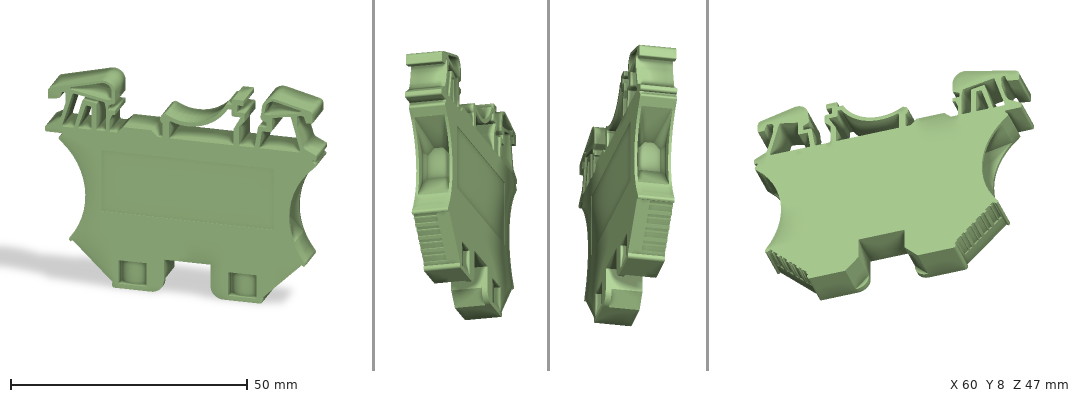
import cadquery as cq
import math

overall_length = 60.0
thickness = 8.0
front_y = -thickness / 2
shoulder_z = 35.4
base_z = shoulder_z - 0.6
root_radius = 0.35
window_radius = 0.3

slot_half_width = 5.15
slot_z = 7.6
foot_radius = 2.75
foot_half_width = 16.6
foot_skin = 1.25
foot_chamfer = 2.95
flank_half_width = 25.3
flank_z = 9.8
ledge_half_width = 27.7
scallop_low = (26.0, 10.3)
scallop_middle = (22.5, 20.4)
scallop_high = (26.4, 30.55)

ledge_z = 33.9
left_ledge_x = -31.45
right_ledge_x = left_ledge_x + overall_length

saddle_center = (0.1, 49.1)
saddle_radius = 9.6
saddle_wall = 0.9
bead_center = (-4.85, 39.6)
bead_radius = 1.15
saddle_post_left = -5.4
saddle_post_right = -3.95
saddle_band_right = 9.3
saddle_band_top = 44.6

label_left = -18.95
label_right = 19.1
label_bottom = 17.1
label_top = 31.0
label_depth = 0.1

latch_pocket_depth = 6.0

foot_pocket_width = 6.25
foot_pocket_bottom = 1.0
foot_pocket_top = 6.35
foot_pocket_depth = 2.0
foot_pocket_middles = (-12.05, 12.2)
bulge_middles = (-12.0, 12.35)
bulge_half_width = 2.9
bulge_height = 1.25

entry_half_width = 3.35
entry_bottom_z = 12.0
throat_x = 18.0
taper_x = 19.4
throat_y = (-2.05, 2.65)
throat_floor_z = 20.1
throat_top_z = 26.75
throat_top_y = (-0.7, 1.25)
throat_side_z = 25.25
mouth_x = 26.75
mouth_top_z = 30.95
trim_size = 120.0

notch_groups = 4
notch_pitch = 2.15
notch_back_y = thickness / 2
notch_front_y = -1.15
notch_depth = 0.5
notch_spans = ((0.1, 0.65), (0.85, 1.75))


def rounded_wire(corners):
    """Closed outline in the XZ plane through (x, z) or (x, z, radius) corners."""
    stretches = []
    count = len(corners)
    for i, corner in enumerate(corners):
        point = cq.Vector(corner[0], 0, corner[1])
        if len(corner) == 2:
            stretches.append((point,))
            continue
        before = corners[i - 1]
        after = corners[(i + 1) % count]
        to_before = (cq.Vector(before[0], 0, before[1]) - point).normalized()
        to_after = (cq.Vector(after[0], 0, after[1]) - point).normalized()
        half_angle = to_before.getAngle(to_after) / 2
        bisector = (to_before + to_after).normalized()
        radius = corner[2]
        tangent_length = radius / math.tan(half_angle)
        corner_to_arc = radius / math.sin(half_angle) - radius
        stretches.append((
            point + to_before * tangent_length,
            point + bisector * corner_to_arc,
            point + to_after * tangent_length,
        ))
    edges = []
    for i, stretch in enumerate(stretches):
        if len(stretch) == 3:
            edges.append(cq.Edge.makeThreePointArc(*stretch))
        edges.append(cq.Edge.makeLine(stretch[-1], stretches[(i + 1) % count][0]))
    return cq.Wire.assembleEdges(edges)


def plate(corners, depth=thickness):
    """Outline extruded backwards from the front face."""
    face = cq.Face.makeFromWires(rounded_wire(corners))
    solid = cq.Solid.extrudeLinear(face, cq.Vector(0, depth, 0))
    return cq.Workplane(solid.translate(cq.Vector(0, front_y, 0)))


def block(x_range, y_range, z_range):
    """Box between pairs of limits."""
    (x0, x1), (y0, y1), (z0, z1) = x_range, y_range, z_range
    return cq.Workplane().box(x1 - x0, y1 - y0, z1 - z0, centered=False).translate((x0, y0, z0))


def rod(center, radius):
    """Round bar through the whole thickness."""
    plane = cq.Workplane("XZ", origin=(0, thickness / 2, 0))
    return plane.center(*center).circle(radius).extrude(thickness)


def trim(solid, kept, first, second, third):
    """Cut off what lies beyond the plane of three points, seen from the point `kept`."""
    origin = cq.Vector(*first)
    along = cq.Vector(*second) - origin
    normal = along.cross(cq.Vector(*third) - origin)
    if normal.dot(cq.Vector(*kept) - origin) > 0:
        normal = -normal
    plane = cq.Plane(origin=first, xDir=along, normal=normal)
    return solid.cut(cq.Workplane(plane).rect(trim_size, trim_size).extrude(trim_size))


def body():
    right_side = [
        (slot_half_width, slot_z),
        (slot_half_width, 0, foot_radius),
        (foot_half_width, 0, 0.55),
        (foot_half_width, 1.0),
        (foot_half_width - 0.3, 1.1),
        (flank_half_width, flank_z),
        (25.75, 9.4, 0.2),
        (26.15, 9.8, 0.35),
        scallop_low,
        scallop_high,
        (28.55, 32.7, 0.4),
        (ledge_half_width, 33.55),
        (ledge_half_width, shoulder_z),
    ]
    left_side = [(-corner[0], *corner[1:]) for corner in reversed(right_side)]
    solid = plate(right_side + left_side)
    (low_x, low_z), (high_x, high_z) = scallop_low, scallop_high
    for side in (1, -1):
        scallop = (
            cq.Workplane("XZ", origin=(0, thickness / 2, 0))
            .moveTo(side * low_x, low_z)
            .threePointArc((side * scallop_middle[0], scallop_middle[1]), (side * high_x, high_z))
            .close()
            .extrude(thickness)
        )
        solid = solid.cut(scallop)
    return solid


def foot_chamfers():
    """Wedges below the inner corners of the feet, behind their front skin."""
    corner_x = slot_half_width
    wedge = (
        cq.Workplane("XZ", origin=(0, thickness / 2, 0))
        .polyline([(corner_x, 0), (corner_x + foot_chamfer, 0), (corner_x, foot_chamfer)])
        .close()
        .extrude(thickness - foot_skin)
    )
    return wedge.union(wedge.mirror("YZ"))


def left_latch():
    latch = plate([
        (left_ledge_x, ledge_z, 0.4),
        (left_ledge_x, 35.05, 0.4),
        (-28.55, 36.65, 0.5),
        (-27.8, 37.8),
        (-26.9, 40.9),
        (-26.8, 43.25, 0.5),
        (-27.65, 43.25, 0.3),
        (-28.15, 41.8, 0.4),
        (-30.8, 41.4, 0.25),
        (-30.8, 43.85, 0.9),
        (-15.95, 47.6, 2.5),
        (-15.95, 42.0, 0.2),
        (-17.45, 41.3, 0.3),
        (-17.45, 40.25, 0.2),
        (-15.95, 40.25),
        (-15.95, 39.3),
        (-16.55, 39.3),
        (-17.15, 37.75),
        (-17.15, shoulder_z, root_radius),
        (-16.1, shoulder_z),
        (-16.1, base_z),
        (-27.0, base_z),
        (-27.0, ledge_z),
    ])
    gap_around_finger = plate([
        (-27.7, shoulder_z, window_radius),
        (-25.25, 43.25, window_radius),
        (-18.25, 42.0, 0.5),
        (-17.95, 40.4),
        (-17.95, shoulder_z, window_radius),
        (-20.05, shoulder_z, window_radius),
        (-20.05, 41.5, 0.3),
        (-23.1, 42.05, 0.4),
        (-25.0, shoulder_z, window_radius),
    ])
    gap_inside_finger = plate([
        (-24.1, shoulder_z, window_radius),
        (-22.4, 40.8, window_radius),
        (-21.2, 40.7, 0.2),
        (-21.2, shoulder_z),
    ])
    pocket = plate([
        (-25.75, 44.1),
        (-17.8, 42.6),
        (-16.7, 42.6, 0.35),
        (-16.7, 46.85, 1.85),
        (-25.75, 44.6),
    ], latch_pocket_depth)
    return latch.cut(gap_around_finger).cut(gap_inside_finger).cut(pocket)


def saddle():
    ring = rod(saddle_center, saddle_radius + saddle_wall).cut(rod(saddle_center, saddle_radius))
    band_box = block(
        (bead_center[0], saddle_band_right), (front_y, -front_y), (base_z, saddle_band_top)
    )
    left_post = plate([
        (saddle_post_left - 0.6, base_z),
        (saddle_post_left - 0.6, shoulder_z),
        (saddle_post_left, shoulder_z, root_radius),
        (saddle_post_left, bead_center[1]),
        (saddle_post_right, bead_center[1]),
        (saddle_post_right, base_z),
    ])
    right_post = plate([
        (8.75, saddle_band_top),
        (9.85, saddle_band_top),
        (9.85, 45.85, 0.25),
        (12.4, 45.85, 0.25),
        (12.4, 44.6, 0.3),
        (11.05, 44.6),
        (11.05, 43.0),
        (12.7, 43.0, 0.35),
        (12.7, 41.05),
        (11.45, 39.8),
        (11.45, shoulder_z, root_radius),
        (12.05, shoulder_z),
        (12.05, base_z),
        (10.2, base_z),
        (10.2, 39.05, 1.2),
        (11.8, 41.95),
        (9.85, 41.95, 0.35),
        (9.85, 43.5),
        (8.75, 43.5),
    ])
    bead = rod(bead_center, bead_radius)
    return ring.intersect(band_box).union(left_post).union(bead).union(right_post)


def right_latch():
    latch = plate([
        (14.1, base_z),
        (14.1, shoulder_z),
        (14.9, shoulder_z, root_radius),
        (15.65, 40.25, 0.2),
        (17.6, 40.25),
        (17.6, 41.35),
        (16.4, 41.9, 0.35),
        (16.15, 42.6),
        (16.3, 42.95),
        (16.8, 47.6, 2.5),
        (27.7, 44.9, 0.95),
        (27.7, 42.25, 0.25),
        (26.3, 42.25),
        (25.75, 43.75, 0.2),
        (24.2, 43.75, 0.7),
        (24.3, 41.3, 2.4),
        (25.75, 36.4, 1.2),
        (right_ledge_x, 35.05, 0.4),
        (right_ledge_x, ledge_z, 0.4),
        (26.4, ledge_z),
        (26.4, base_z),
    ])
    window = plate([
        (15.95, shoulder_z),
        (16.5, 39.3, 0.2),
        (18.7, 39.3, 0.4),
        (18.7, 42.55),
        (22.85, 43.4, 0.5),
        (25.1, shoulder_z, window_radius),
    ])
    pocket = plate([
        (17.05, 43.15, 0.3),
        (18.2, 43.15),
        (25.1, 44.35),
        (25.1, 44.95),
        (17.3, 46.85, 1.85),
        (17.3, 44.75),
    ], latch_pocket_depth)
    return latch.cut(window).cut(pocket)


def platform():
    return plate([
        (-15.55, shoulder_z),
        (-14.1, 36.8),
        (-7.9, 36.8),
        (-6.5, shoulder_z),
        (-6.5, base_z),
        (-15.55, base_z),
    ])


def foot_pocket(pocket_x, bulge_x):
    """Rectangular pocket in the front whose back wall bulges forward as part of a cylinder."""
    height = foot_pocket_top - foot_pocket_bottom
    left = pocket_x - foot_pocket_width / 2
    back_y = front_y + foot_pocket_depth
    pocket = block(
        (left, left + foot_pocket_width), (front_y, back_y), (foot_pocket_bottom, foot_pocket_top)
    )
    bulge = (
        cq.Workplane("XY", origin=(bulge_x, back_y, foot_pocket_bottom))
        .moveTo(-bulge_half_width, 0)
        .threePointArc((0, -bulge_height), (bulge_half_width, 0))
        .close()
        .extrude(height)
    )
    return pocket.cut(bulge)


def wire_entry():
    """Funnel opening to -X: 45 degree floor, closing side walls, sloping ceiling and corners."""
    throat = -throat_x
    mouth_y = (-entry_half_width, entry_half_width)
    funnel = block((-mouth_x, throat), mouth_y, (entry_bottom_z, mouth_top_z))
    inside = (throat - 0.6, 0, throat_side_z - 0.6)
    floor_edge = [(throat, y, throat_floor_z) for y in throat_y]
    funnel = trim(funnel, inside, *floor_edge, (throat - 0.6, 0, throat_floor_z - 0.6))
    ceiling_edge = [(throat, y, throat_top_z) for y in throat_top_y]
    funnel = trim(funnel, inside, *ceiling_edge, (-mouth_x, 0, mouth_top_z))
    for side_y, top_y, edge_y in zip(throat_y, throat_top_y, mouth_y):
        corner = (throat, side_y, throat_side_z)
        ceiling_corner = (throat, top_y, throat_top_z)
        mouth_corner = (-mouth_x, edge_y, mouth_top_z)
        taper_start = (-taper_x, edge_y, throat_side_z)
        funnel = trim(funnel, inside, corner, (throat, side_y, throat_floor_z), taper_start)
        funnel = trim(funnel, inside, corner, ceiling_corner, mouth_corner)
    return funnel


def grip_notches():
    """Groups of square notches down the rear part of the left flank, which slopes at 45 degrees."""
    width = notch_back_y - notch_front_y
    middle_y = (notch_back_y + notch_front_y) / 2
    cutters = cq.Workplane()
    for group in range(notch_groups):
        for start, end in notch_spans:
            drop = group * notch_pitch + (start + end) / 2
            length = (end - start) * math.sqrt(2)
            cutter = cq.Workplane().box(length, width, 2 * notch_depth).rotate((0, 0, 0), (0, 1, 0), 45)
            cutters = cutters.add(cutter.translate((drop - flank_half_width, middle_y, flank_z - drop)))
    return cutters.combine()


def label_recess():
    return block(
        (label_left, label_right), (front_y, front_y + label_depth), (label_bottom, label_top)
    )


result = body()
for feature in (left_latch(), platform(), saddle(), right_latch()):
    result = result.union(feature)
for side_cut in (wire_entry(), grip_notches()):
    result = result.cut(side_cut).cut(side_cut.mirror("YZ"))
for pocket_x, bulge_x in zip(foot_pocket_middles, bulge_middles):
    result = result.cut(foot_pocket(pocket_x, bulge_x))
result = result.cut(label_recess()).cut(foot_chamfers())